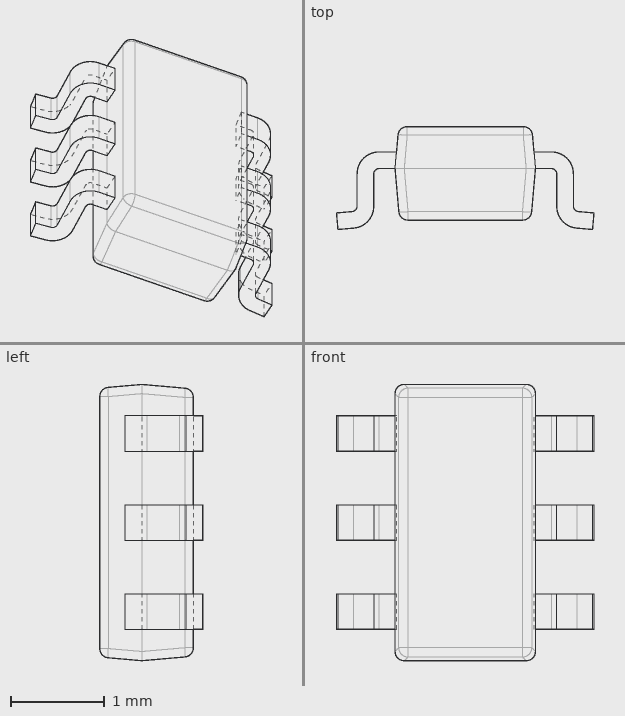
import cadquery as cq
import math


housing_width = 1.5
housing_length = 2.95
housing_top = 1.1
housing_standoff = 0.1
parting_level = 0.65
draft_angle = 5.0
housing_fillet = 0.1

lead_count_per_side = 3
lead_pitch = 0.95
lead_width = 0.38
lead_thickness = 0.18
lead_span = 2.75
leg_inner_face = 0.975
inner_bend_radius = 0.055
outer_bend_radius = inner_bend_radius + lead_thickness
foot_angle = 5.0
lead_root = housing_width / 4


def housing_half(height):
    """Drafted half of the housing, from the parting plane up (or down if height is negative)."""
    parting_plane = cq.Plane(
        origin=(0, parting_level, 0), xDir=(1, 0, 0), normal=(0, math.copysign(1, height), 0)
    )
    return (
        cq.Workplane(parting_plane)
        .rect(housing_width, housing_length)
        .extrude(abs(height), taper=draft_angle)
    )


def make_housing():
    """Double-drafted block, rounded on every edge except the parting edges."""
    upper_half = housing_half(housing_top - parting_level)
    lower_half = housing_half(housing_standoff - parting_level)
    block = upper_half.union(lower_half)
    rounded_edges = block.edges().filter(
        lambda edge: abs(edge.Center().y - parting_level) > housing_fillet
    )
    return rounded_edges.fillet(housing_fillet)


def bend_point(center, radius, angle):
    """Point on a bend, at an angle in degrees from +X."""
    return (
        center[0] + radius * math.cos(math.radians(angle)),
        center[1] + radius * math.sin(math.radians(angle)),
    )


def make_lead(z_center):
    """Gull-wing lead on the +X side, still reaching into the housing."""
    slope = math.radians(foot_angle)
    lead_bottom = parting_level
    lead_top = lead_bottom + lead_thickness

    shoulder = (leg_inner_face - inner_bend_radius, lead_bottom - inner_bend_radius)

    foot_bend_x = leg_inner_face + outer_bend_radius
    foot_end_angle = 270 - foot_angle
    tip_top_x = lead_span / 2
    tip_bottom_x = tip_top_x - lead_thickness * math.sin(slope)
    tip_top = (tip_top_x, lead_thickness * math.cos(slope))
    tip_bottom = (tip_bottom_x, 0)
    foot_bend_y = (
        (tip_bottom_x - foot_bend_x) * math.tan(slope) + outer_bend_radius / math.cos(slope)
    )
    foot_bend = (foot_bend_x, foot_bend_y)
    foot_mid_angle = (180 + foot_end_angle) / 2

    return (
        cq.Workplane("XY", origin=(0, 0, z_center - lead_width / 2))
        .moveTo(lead_root, lead_top)
        .lineTo(*bend_point(shoulder, outer_bend_radius, 90))
        .threePointArc(
            bend_point(shoulder, outer_bend_radius, 45), bend_point(shoulder, outer_bend_radius, 0)
        )
        .lineTo(*bend_point(foot_bend, inner_bend_radius, 180))
        .threePointArc(
            bend_point(foot_bend, inner_bend_radius, foot_mid_angle),
            bend_point(foot_bend, inner_bend_radius, foot_end_angle),
        )
        .lineTo(*tip_top)
        .lineTo(*tip_bottom)
        .lineTo(*bend_point(foot_bend, outer_bend_radius, foot_end_angle))
        .threePointArc(
            bend_point(foot_bend, outer_bend_radius, foot_mid_angle),
            bend_point(foot_bend, outer_bend_radius, 180),
        )
        .lineTo(*bend_point(shoulder, inner_bend_radius, 0))
        .threePointArc(
            bend_point(shoulder, inner_bend_radius, 45), bend_point(shoulder, inner_bend_radius, 90)
        )
        .lineTo(lead_root, lead_bottom)
        .close()
        .extrude(lead_width)
    )


housing = make_housing()

leads = []
for index in range(lead_count_per_side):
    z_center = (index - (lead_count_per_side - 1) / 2) * lead_pitch
    right_lead = make_lead(z_center).cut(housing)
    left_lead = right_lead.mirror("YZ")
    leads.append(right_lead.solids().val())
    leads.append(left_lead.solids().val())

result = cq.Compound.makeCompound([housing.solids().val(), *leads])